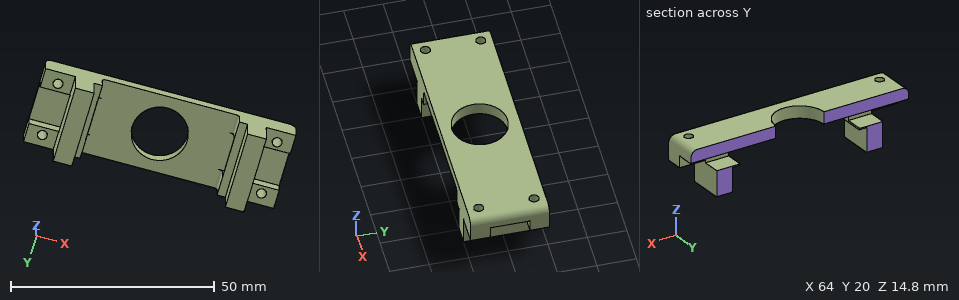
import cadquery as cq

length = 64.0
width = 20.0
height = 14.8

plate_thickness = 3.5
end_underside_height = 8.0
top_edge_radius = 2.0

leg_outer = 24.4
leg_inner = 19.6
step_inner = 17.5
step_height = 6.8
recess_corner_radius = 1.0

window_width = 10.0
window_height = 4.0

center_hole_diameter = 14.0
screw_hole_diameter = 2.4
screw_spacing_x = 56.0
screw_spacing_y = 14.0

half_length = length / 2
plate_underside = height - plate_thickness
edge_margin = 0.1


def make_body():
    """Bridge-shaped profile extruded across the width, with its corners rounded."""
    half_profile = [
        (0, height),
        (half_length, height),
        (half_length, end_underside_height),
        (leg_outer, end_underside_height),
        (leg_outer, 0),
        (leg_inner, 0),
        (leg_inner, step_height),
        (step_inner, step_height),
        (step_inner, plate_underside),
        (0, plate_underside),
    ]
    half = cq.Workplane("XZ").polyline(half_profile).close().extrude(width / 2, both=True)
    body = half.union(half.mirror("YZ")).clean()
    body = body.edges("|Y and >Z").fillet(top_edge_radius)
    recess_corners = cq.selectors.BoxSelector(
        (-step_inner - edge_margin, -width, plate_underside - edge_margin),
        (step_inner + edge_margin, width, plate_underside + edge_margin),
    )
    return body.edges("|Y").edges(recess_corners).fillet(recess_corner_radius)


def make_window():
    """Lengthwise cutter whose roof is level with the underside of the plate."""
    window = cq.Workplane("XY").rect(length, window_width).extrude(window_height)
    return window.translate((0, 0, plate_underside - window_height))


def make_vertical_holes():
    """Large central hole and four screw holes, all right through the plate."""
    center_hole = cq.Workplane("XY").circle(center_hole_diameter / 2).extrude(height)
    screw_holes = (
        cq.Workplane("XY")
        .rect(screw_spacing_x, screw_spacing_y, forConstruction=True)
        .vertices()
        .circle(screw_hole_diameter / 2)
        .extrude(height)
    )
    return center_hole.union(screw_holes)


result = make_body().cut(make_window()).cut(make_vertical_holes())